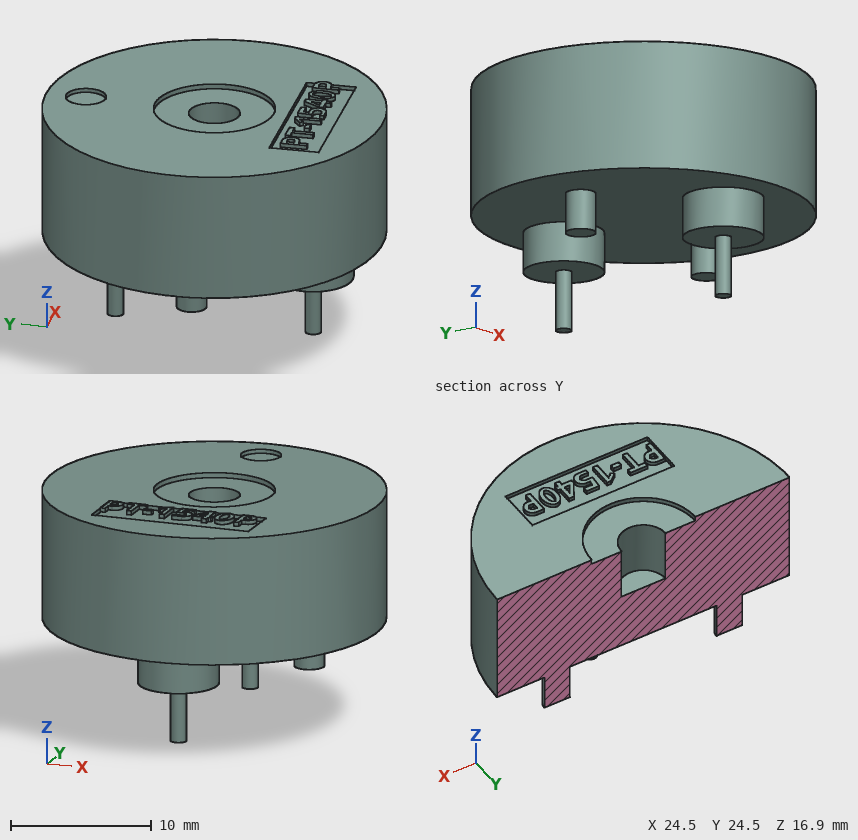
import cadquery as cq

housing_diameter = 24.52
housing_height = 9.37

foot_and_boss_spacing = 14.42
standoff_height = 2.9
foot_diameter = 2.15
boss_diameter = 5.79
lead_diameter = 1.15
lead_length = 4.32

marking_depth = 0.3
sound_recess_diameter = 8.65
sound_recess_depth = 0.37
sound_hole_diameter = 3.65
sound_hole_bottom = housing_height / 2
mark_diameter = 2.9
mark_y = 9.37
label_length = 11.9
label_width = 3.6
label_y = -7.15

char_base_y = -8.02
char_height = 1.91
char_thickness = 0.3
stroke = 0.37
thin_stroke = 0.3

first_p_x = -5.65
t_x = -4.17
dash_x = -2.62
one_x = -1.75
five_x = -0.2
four_x = 1.23
zero_x = 2.77
last_p_x = 4.49


def rod(x, y, diameter, z_top, length):
    """Upright cylinder hanging down from z_top."""
    return cq.Workplane(origin=(x, y, z_top - length)).circle(diameter / 2).extrude(length)


def make_housing():
    body = cq.Workplane().circle(housing_diameter / 2).extrude(housing_height)

    body = body.cut(rod(0, 0, sound_recess_diameter, housing_height, sound_recess_depth))
    body = body.cut(rod(0, 0, sound_hole_diameter, housing_height, housing_height - sound_hole_bottom))
    body = body.cut(rod(0, mark_y, mark_diameter, housing_height, marking_depth))
    label = (
        cq.Workplane(origin=(0, label_y, housing_height))
        .rect(label_length, label_width)
        .extrude(-marking_depth)
    )
    body = body.cut(label)

    for side in (-1, 1):
        offset = side * foot_and_boss_spacing / 2
        body = body.union(rod(offset, 0, foot_diameter, 0, standoff_height))
        body = body.union(rod(0, offset, boss_diameter, 0, standoff_height))
        body = body.union(rod(0, offset, lead_diameter, -standoff_height, lead_length))
    return body


def char_plane(x):
    """Sketch plane with its origin at the lower left corner of a character."""
    return cq.Workplane(origin=(x, char_base_y, housing_height))


def make_p(x):
    bowl_bottom = 0.65
    bowl_radius = (char_height - bowl_bottom) / 2
    bowl_x = 0.61
    bowl_y = char_height - bowl_radius
    counter_radius = bowl_radius - stroke
    outer = (
        char_plane(x)
        .lineTo(stroke, 0)
        .lineTo(stroke, bowl_bottom)
        .lineTo(bowl_x, bowl_bottom)
        .threePointArc((bowl_x + bowl_radius, bowl_y), (bowl_x, char_height))
        .lineTo(0, char_height)
        .close()
        .extrude(char_thickness)
    )
    counter = (
        char_plane(x)
        .moveTo(stroke, bowl_y - counter_radius)
        .lineTo(bowl_x, bowl_y - counter_radius)
        .threePointArc((bowl_x + counter_radius, bowl_y), (bowl_x, bowl_y + counter_radius))
        .lineTo(stroke, bowl_y + counter_radius)
        .close()
        .extrude(char_thickness)
    )
    return outer.cut(counter)


def make_t(x):
    width = 1.42
    bar_bottom = char_height - stroke
    stem_left = (width - stroke) / 2
    stem_right = stem_left + stroke
    points = [
        (stem_left, 0), (stem_right, 0), (stem_right, bar_bottom), (width, bar_bottom),
        (width, char_height), (0, char_height), (0, bar_bottom), (stem_left, bar_bottom),
    ]
    return char_plane(x).polyline(points).close().extrude(char_thickness)


def make_dash(x):
    length = 0.65
    bottom = 0.51
    return char_plane(x).moveTo(0, bottom).rect(length, stroke, centered=False).extrude(char_thickness)


def make_one(x):
    stem_left = 0.6
    stem_right = stem_left + stroke
    top_left = 0.64
    flag_tip = (0, 1.4)
    flag_corner = (0.22, 1.18)
    flag_root_y = 1.52
    points = [
        (stem_left, 0), (stem_right, 0), (stem_right, char_height), (top_left, char_height),
        flag_tip, flag_corner, (stem_left, flag_root_y),
    ]
    return char_plane(x).polyline(points).close().extrude(char_thickness)


def make_five(x):
    bar_left = 0.07
    bar_right = 1.13
    bar_bottom = char_height - stroke
    bowl_radius = 0.6
    bowl_x = 0.69
    bowl_top = 2 * bowl_radius
    inner_radius = bowl_radius - thin_stroke
    inner_x = 0.55
    inner_top = bowl_top - thin_stroke
    return (
        char_plane(x)
        .lineTo(0, thin_stroke)
        .lineTo(inner_x, thin_stroke)
        .threePointArc((inner_x + inner_radius, bowl_radius), (inner_x, inner_top))
        .lineTo(0, inner_top)
        .lineTo(bar_left, char_height)
        .lineTo(bar_right, char_height)
        .lineTo(bar_right, bar_bottom)
        .lineTo(bar_left + stroke, bar_bottom)
        .lineTo(stroke, bowl_top)
        .lineTo(bowl_x, bowl_top)
        .threePointArc((bowl_x + bowl_radius, bowl_radius), (bowl_x, 0))
        .close()
        .extrude(char_thickness)
    )


def make_four(x):
    width = 1.4
    stem_left = 0.8
    stem_right = stem_left + stroke
    bar_bottom = 0.37
    bar_top = bar_bottom + stroke
    top_left = 0.75
    slope_bottom = 0.65
    counter_left = 0.37
    counter_top = 1.4
    outline = [
        (stem_left, 0), (stem_right, 0), (stem_right, bar_bottom), (width, bar_bottom),
        (width, bar_top), (stem_right, bar_top), (stem_right, char_height), (top_left, char_height),
        (0, slope_bottom), (0, bar_bottom), (stem_left, bar_bottom),
    ]
    counter = [(counter_left, bar_top), (stem_left, bar_top), (stem_left, counter_top)]
    outer = char_plane(x).polyline(outline).close().extrude(char_thickness)
    return outer.cut(char_plane(x).polyline(counter).close().extrude(char_thickness))


def make_zero(x):
    width = 1.32
    half_width = width / 2
    half_height = char_height / 2
    return (
        char_plane(x)
        .center(half_width, half_height)
        .ellipse(half_width, half_height)
        .ellipse(half_width - stroke, half_height - thin_stroke)
        .extrude(char_thickness)
    )


housing = make_housing()
characters = [
    make_p(first_p_x),
    make_t(t_x),
    make_dash(dash_x),
    make_one(one_x),
    make_five(five_x),
    make_four(four_x),
    make_zero(zero_x),
    make_p(last_p_x),
]

result = cq.Compound.makeCompound([housing.val(), *[character.val() for character in characters]])